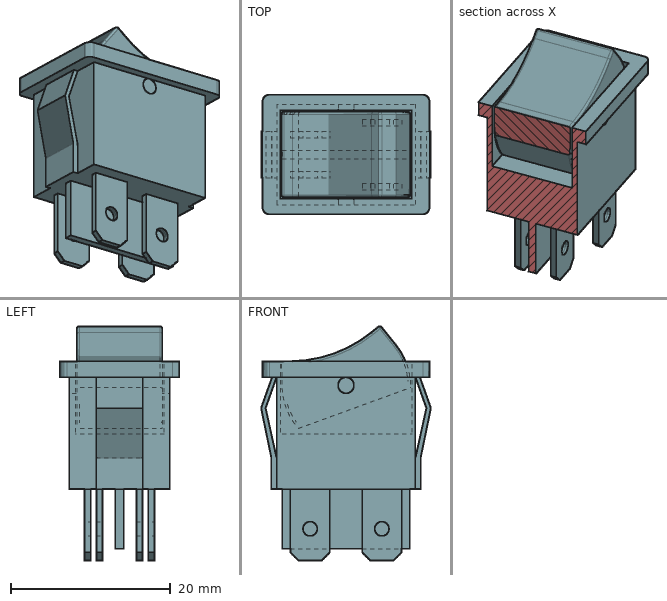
import cadquery as cq
import math


flange_length = 20.95
flange_width = 15.0
flange_thickness = 2.0
flange_corner_radius = 0.88
case_length = 17.4
case_width = 12.63
case_height = 14.0
opening_length = 16.45
opening_width = 11.13
pocket_depth = 7.05
barrier_length = 16.0
barrier_thickness = 1.1
barrier_height = 7.5

clip_width = 5.8
overall_length = 21.3
clip_reach = overall_length / 2
clip_thickness = 0.6
clip_foot_thickness = 0.68
clip_top_reach = 9.28
clip_bend_depth = 3.85
clip_foot_depth = 10.05

terminal_width = 4.93
terminal_thickness = 0.8
terminal_length = 8.95
terminal_chamfer = 1.03
terminal_hole_diameter = 1.8
terminal_hole_height = 4.0
terminal_spacing = 9.0
terminal_x = terminal_spacing / 2
inner_terminal_y = 2.5
outer_terminal_y = 4.0

pivot_diameter = 2.0
pivot_z = -pivot_diameter / 2
rocker_tilt = 20.0
rocker_width = 10.72
rocker_radius = 8.05
rocker_tip_x = 6.58
rocker_tip_z = 5.6
rocker_flat_length = 1.38
rocker_flat_angle = 19.0
rocker_edge_radius = 0.3
rocker_bottom_z = -3.0


def make_box(length, width, bottom, top):
    """Box centred on X and Y between two heights."""
    return cq.Workplane("XY").workplane(offset=bottom).rect(length, width).extrude(top - bottom)


def make_clip():
    """Bent spring leg on the +X end, rooted in the flange and the case."""
    case_end = case_length / 2
    outline = [
        (clip_top_reach - clip_thickness, 0),
        (clip_top_reach, 0),
        (clip_reach, -clip_bend_depth),
        (case_end + clip_foot_thickness, -clip_foot_depth),
        (case_end + clip_foot_thickness, -case_height),
        (case_end, -case_height),
        (case_end, -clip_foot_depth),
        (clip_reach - clip_thickness, -clip_bend_depth),
    ]
    return cq.Workplane("XZ").polyline(outline).close().extrude(clip_width / 2, both=True)


def make_pivot_pin():
    """Pin along Y whose ends are flush with the sides of the case."""
    return (
        cq.Workplane("XZ")
        .center(0, pivot_z)
        .circle(pivot_diameter / 2)
        .extrude(case_width / 2, both=True)
    )


def make_housing():
    flange = make_box(flange_length, flange_width, 0, flange_thickness)
    flange = flange.edges("|Z").fillet(flange_corner_radius)
    case = make_box(case_length, case_width, -case_height, 0)
    barrier = make_box(barrier_length, barrier_thickness, -case_height - barrier_height, -case_height)
    clip = make_clip()
    body = flange.union(case).union(barrier).union(clip).union(clip.mirror("YZ"))

    pocket = make_box(opening_length, opening_width, -pocket_depth, flange_thickness)
    return body.cut(pocket).cut(make_pivot_pin())


def make_rocker():
    flat_angle = math.radians(rocker_flat_angle)
    flat_x = rocker_tip_x - rocker_flat_length * math.cos(flat_angle)
    flat_z = rocker_tip_z - rocker_flat_length * math.sin(flat_angle)
    dish_depth = flat_x * math.tan(flat_angle / 2)
    tip_distance = math.hypot(rocker_tip_x, rocker_tip_z)
    tangent_angle = math.atan2(rocker_tip_z, rocker_tip_x) - math.acos(rocker_radius / tip_distance)
    flank_x = rocker_radius * math.cos(tangent_angle)
    flank_z = rocker_radius * math.sin(tangent_angle)
    bottom_x = math.sqrt(rocker_radius**2 - rocker_bottom_z**2)

    block = (
        cq.Workplane("XZ")
        .moveTo(-bottom_x, rocker_bottom_z)
        .lineTo(bottom_x, rocker_bottom_z)
        .threePointArc((rocker_radius, 0), (flank_x, flank_z))
        .lineTo(rocker_tip_x, rocker_tip_z)
        .lineTo(flat_x, flat_z)
        .threePointArc((0, flat_z - dish_depth), (-flat_x, flat_z))
        .lineTo(-rocker_tip_x, rocker_tip_z)
        .lineTo(-flank_x, flank_z)
        .threePointArc((-rocker_radius, 0), (-bottom_x, rocker_bottom_z))
        .close()
        .extrude(rocker_width / 2, both=True)
    )
    tip_edges = block.edges("|Y").edges(">Z")
    side_edges = block.faces("|Y").edges("not(<Z)")
    block = block.newObject(tip_edges.vals() + side_edges.vals()).fillet(rocker_edge_radius)

    tilted = block.rotate((0, 0, 0), (0, 1, 0), -rocker_tilt).translate((0, 0, pivot_z))
    return tilted.union(make_pivot_pin())


def make_terminal(x, y):
    """Flat blade hanging from the bottom of the case, with a hole and a tapered end."""
    blade = make_box(terminal_width, terminal_thickness, -terminal_length, 0)
    blade = blade.faces("<Z").edges("|Y").chamfer(terminal_chamfer)
    hole = (
        cq.Workplane("XZ")
        .center(0, terminal_hole_height - terminal_length)
        .circle(terminal_hole_diameter / 2)
        .extrude(terminal_thickness, both=True)
    )
    return blade.cut(hole).translate((x, y, -case_height))


housing = make_housing()
rocker = make_rocker()

terminal_places = [
    (-terminal_x, -inner_terminal_y),
    (terminal_x, -outer_terminal_y),
    (-terminal_x, inner_terminal_y),
    (terminal_x, outer_terminal_y),
]
terminals = [make_terminal(x, y) for x, y in terminal_places]

result = cq.Compound.makeCompound(
    [housing.val(), rocker.val(), *[terminal.val() for terminal in terminals]]
)